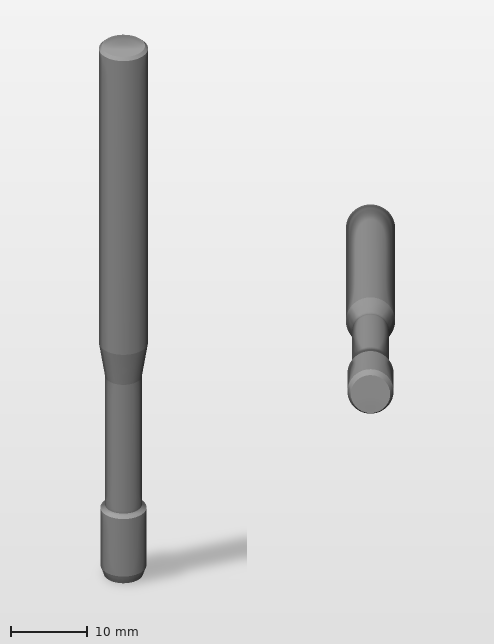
import cadquery as cq

total_length = 80.0
shank_diameter = 6.4
neck_diameter = 4.8
head_diameter = 6.0
tip_diameter = 5.1

tip_chamfer_height = 1.3
head_edge_height = 10.0
shoulder_height = 0.5
neck_top = 30.0
taper_length = 5.0
shank_chamfer = 0.4

shank_radius = shank_diameter / 2
neck_radius = neck_diameter / 2
head_radius = head_diameter / 2
head_top = head_edge_height + shoulder_height
shank_bottom = neck_top + taper_length
bottom = -total_length / 2


def revolve_about_z(profile):
    """Turn a half outline of (radius, height above the tip) around Z."""
    points = [(radius, bottom + height) for radius, height in profile]
    outline = cq.Workplane("XZ").polyline(points).close()
    return outline.revolve(360, (0, 0), (0, 1))


def make_head():
    """Working head with a tapered tip and a conical upper shoulder."""
    return revolve_about_z([
        (0, 0),
        (tip_diameter / 2, 0),
        (head_radius, tip_chamfer_height),
        (head_radius, head_edge_height),
        (neck_radius, head_top),
        (0, head_top),
    ])


def make_shank():
    """Slim neck widening through a cone into the chamfered shank."""
    return revolve_about_z([
        (0, head_top),
        (neck_radius, head_top),
        (neck_radius, neck_top),
        (shank_radius, shank_bottom),
        (shank_radius, total_length - shank_chamfer),
        (shank_radius - shank_chamfer, total_length),
        (0, total_length),
    ])


head = make_head()
shank = make_shank()
result = cq.Compound.makeCompound([head.val(), shank.val()])